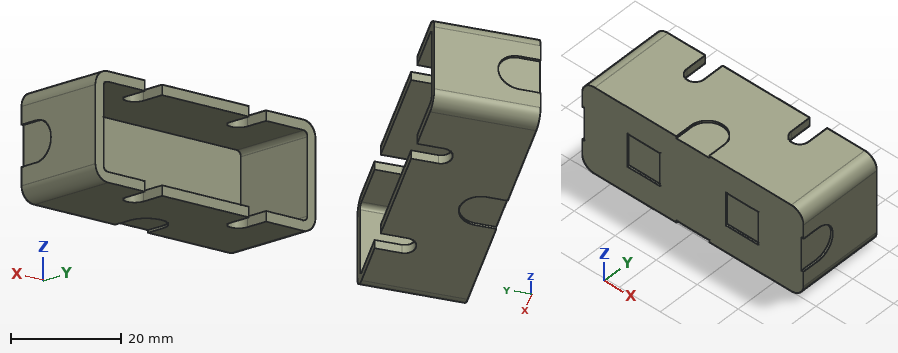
import cadquery as cq

length = 54.0
depth = 20.0
height = 21.0
corner_radius = 3.0
wall = 2.0

recess_size = 8.0
recess_depth = 0.5
front_recess_spacing = 24.0

slot_width = 4.2
slot_depth = 7.2
slot_spacing = 25.5

front_y = -depth / 2
open_y = depth / 2


def rounded_block(x_size, y_size, z_size, radius):
    """Centred block with its edges along Y rounded."""
    return cq.Workplane("XY").box(x_size, y_size, z_size).edges("|Y").fillet(radius)


def round_ended_cutter(width, reach, thickness):
    """Tongue along +Y from the origin, with a semicircular end, centred in Z."""
    radius = width / 2
    straight = reach - radius
    return (
        cq.Workplane("XY")
        .moveTo(-radius, 0)
        .lineTo(-radius, straight)
        .threePointArc((0, reach), (radius, straight))
        .lineTo(radius, 0)
        .close()
        .extrude(thickness / 2, both=True)
    )


inner_radius = corner_radius - wall
cavity = rounded_block(length - 2 * wall, depth, height - 2 * wall, inner_radius)
result = rounded_block(length, depth, height, corner_radius).cut(cavity.translate((0, wall, 0)))

slot = round_ended_cutter(slot_width, slot_depth, height).rotate((0, 0, 0), (0, 0, 1), 180)
for side in (-1, 1):
    result = result.cut(slot.translate((side * slot_spacing / 2, open_y, 0)))

side_recess = round_ended_cutter(recess_size, recess_size, 2 * recess_depth)
end_recess = side_recess.rotate((0, 0, 0), (0, 1, 0), 90)
for side in (-1, 1):
    result = result.cut(side_recess.translate((0, front_y, side * height / 2)))
    result = result.cut(end_recess.translate((side * length / 2, front_y, 0)))

square_recess = cq.Workplane("XY").box(recess_size, 2 * recess_depth, recess_size)
for side in (-1, 1):
    result = result.cut(square_recess.translate((side * front_recess_spacing / 2, front_y, 0)))